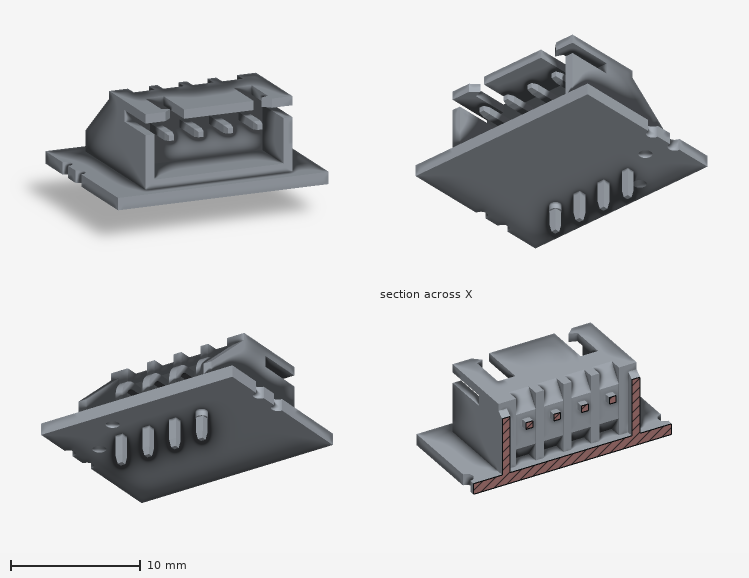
import cadquery as cq


BOARD_LENGTH = 13.97
BOARD_WIDTH = 17.8
BOARD_THICKNESS = 1.0
BOARD_X_MIN = -3.63
BOARD_Y_MIN = -9.02
BOARD_Y_MAX = BOARD_Y_MIN + BOARD_WIDTH
HOLE_DIAMETER = 1.1
HOLE_CENTERS = [(-2.01, 3.2), (0.9, 6.39)]
EDGE_NOTCH_X = [0.2, 2.72]

HOUSING_HEIGHT = 6.1
HOUSING_WIDTH = 12.4
HOUSING_X_MAX = 9.2
BLOCK_X_MIN = 2.22
WALL = 0.75
CHEEK_X_MIN = -2.3
CHEEK_LOW_Z = 1.73
CHEEK_HIGH_Z = 5.48
CAVITY_X_MIN = 5.2

ARM_Z_MIN = HOUSING_HEIGHT - WALL
SIDE_SLOT_Z_MIN = 4.41
TOP_SLOT_Y_MIN = 2.94
TOP_SLOT_Y_MAX = 4.5
BARB_TIP_X = 8.6
BARB_TIP_Y = 3.86
BARB_REAR_X = 8.37

RECESS_WIDTH = 1.76
RECESS_DEPTH = 1.1
RECESS_SLOPE_HEIGHT = 1.5
RECESS_FLAT_DEPTH = 0.04

PIN_COUNT = 4
PIN_PITCH = 2.5
PIN_SIZE = 0.64
PIN_TOP_Z = 4.05
PIN_BOTTOM_Z = -3.4
PIN_FRONT_X = 8.62
PIN_BEND_RADIUS = 1.5
TIP_SIZE = 0.43
TIP_LENGTH = 0.62
COLLAR_DIAMETER = 0.98
COLLAR_TOP_Z = 0.04
COLLAR_BOTTOM_Z = -1.55

PIN_Y = [(i - (PIN_COUNT - 1) / 2) * PIN_PITCH for i in range(PIN_COUNT)]


def box(x_range, y_range, z_range):
    """Box spanning the given (low, high) ranges."""
    size = [high - low for low, high in (x_range, y_range, z_range)]
    corner = (x_range[0], y_range[0], z_range[0])
    return cq.Workplane("XY").box(*size, centered=False).translate(corner)


def side_prism(points, y_center, width):
    """Prism with an XZ outline, centred on y_center."""
    prism = cq.Workplane("XZ").polyline(points).close().extrude(width / 2, both=True)
    return prism.translate((0, y_center, 0))


def make_board():
    board = box(
        (BOARD_X_MIN, BOARD_X_MIN + BOARD_LENGTH),
        (BOARD_Y_MIN, BOARD_Y_MAX),
        (-BOARD_THICKNESS, 0),
    )
    edge_centers = [(x, y) for x in EDGE_NOTCH_X for y in (BOARD_Y_MIN, BOARD_Y_MAX)]
    holes = (
        cq.Workplane("XY")
        .pushPoints(HOLE_CENTERS + edge_centers)
        .circle(HOLE_DIAMETER / 2)
        .extrude(-BOARD_THICKNESS)
    )
    return board.cut(holes)


def make_cheek(side):
    """Sloping guard wall behind the housing; side is +1 or -1 along Y."""
    outline = [
        (CHEEK_X_MIN, 0),
        (BLOCK_X_MIN, 0),
        (BLOCK_X_MIN, CHEEK_HIGH_Z),
        (CHEEK_X_MIN, CHEEK_LOW_Z),
    ]
    return side_prism(outline, side * (HOUSING_WIDTH - WALL) / 2, WALL)


def make_recess(y_center):
    """Rear recess that flares at the top and at the bottom around a shallow flat."""
    flat_x = BLOCK_X_MIN + RECESS_FLAT_DEPTH
    deep_x = BLOCK_X_MIN + RECESS_DEPTH
    outline = [
        (BLOCK_X_MIN, 0),
        (deep_x, 0),
        (flat_x, RECESS_SLOPE_HEIGHT),
        (flat_x, HOUSING_HEIGHT - RECESS_SLOPE_HEIGHT),
        (deep_x, HOUSING_HEIGHT),
        (BLOCK_X_MIN, HOUSING_HEIGHT),
    ]
    return side_prism(outline, y_center, RECESS_WIDTH)


def make_top_slot():
    """Slot through the roof on the +Y side, leaving the barb on the latch arm."""
    outline = [
        (CAVITY_X_MIN, TOP_SLOT_Y_MIN),
        (HOUSING_X_MAX, TOP_SLOT_Y_MIN),
        (HOUSING_X_MAX, TOP_SLOT_Y_MAX),
        (BARB_TIP_X, BARB_TIP_Y),
        (BARB_REAR_X, TOP_SLOT_Y_MAX),
        (CAVITY_X_MIN, TOP_SLOT_Y_MAX),
    ]
    return cq.Workplane("XY").workplane(offset=ARM_Z_MIN).polyline(outline).close().extrude(WALL)


def make_housing():
    half_width = HOUSING_WIDTH / 2
    mouth_x = (CAVITY_X_MIN, HOUSING_X_MAX)
    housing = box((BLOCK_X_MIN, HOUSING_X_MAX), (-half_width, half_width), (0, HOUSING_HEIGHT))
    cavity = box(mouth_x, (WALL - half_width, half_width - WALL), (WALL, ARM_Z_MIN))
    side_slots = box(mouth_x, (-half_width, half_width), (SIDE_SLOT_Z_MIN, ARM_Z_MIN))
    housing = housing.cut(cavity).cut(side_slots)

    top_slot = make_top_slot()
    housing = housing.cut(top_slot).cut(top_slot.mirror("XZ"))
    for y in PIN_Y:
        housing = housing.cut(make_recess(y))
    for side in (-1, 1):
        housing = housing.union(make_cheek(side))
    return housing


def make_tip(plane):
    """Tapered pin tip growing along the normal of the given plane."""
    return (
        cq.Workplane(plane)
        .rect(PIN_SIZE, PIN_SIZE)
        .workplane(offset=TIP_LENGTH)
        .rect(TIP_SIZE, TIP_SIZE)
        .loft(ruled=True)
    )


def make_pin():
    """Square pin: a vertical leg bent into a horizontal contact, both tips tapered."""
    leg_end_z = PIN_BOTTOM_Z + TIP_LENGTH
    contact_end_x = PIN_FRONT_X - TIP_LENGTH
    contact_z = PIN_TOP_Z - PIN_SIZE / 2
    bend_radius = PIN_BEND_RADIUS - PIN_SIZE / 2
    path = (
        cq.Workplane("XZ")
        .moveTo(0, leg_end_z)
        .lineTo(0, contact_z - bend_radius)
        .tangentArcPoint((bend_radius, contact_z), relative=False)
        .lineTo(contact_end_x, contact_z)
    )
    pin = cq.Workplane("XY", origin=(0, 0, leg_end_z)).rect(PIN_SIZE, PIN_SIZE).sweep(path)
    lower_tip = make_tip(cq.Plane(origin=(0, 0, leg_end_z), xDir=(1, 0, 0), normal=(0, 0, -1)))
    front_tip = make_tip(
        cq.Plane(origin=(contact_end_x, 0, contact_z), xDir=(0, 1, 0), normal=(1, 0, 0))
    )
    return pin.union(lower_tip).union(front_tip)


def make_collar():
    """Round collar around the first pin, running through the board and slightly proud of it."""
    collar = cq.Workplane("XY", origin=(0, PIN_Y[0], COLLAR_BOTTOM_Z)).circle(COLLAR_DIAMETER / 2)
    return collar.extrude(COLLAR_TOP_Z - COLLAR_BOTTOM_Z)


result = make_board().union(make_housing()).union(make_collar())
pin = make_pin()
for pin_y in PIN_Y:
    result = result.union(pin.translate((0, pin_y, 0)))